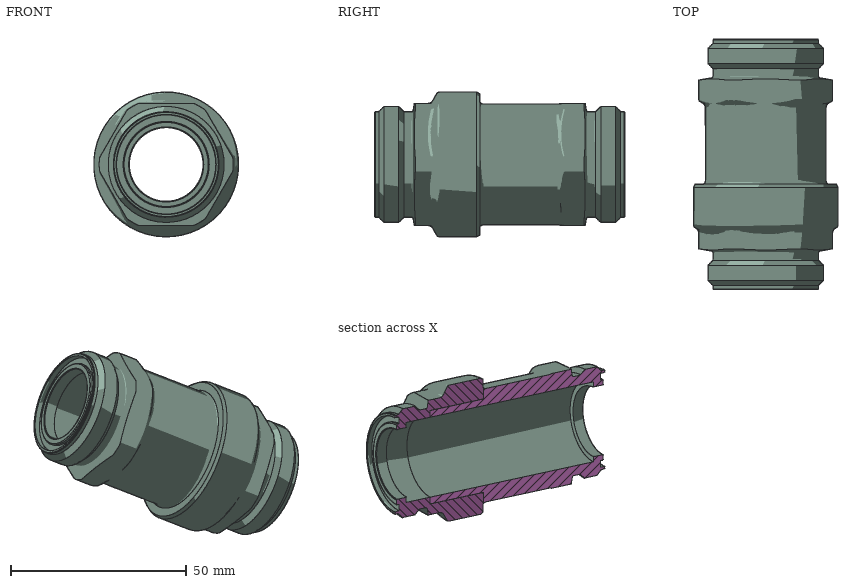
import cadquery as cq
import math

LENGTH = 71.5
HALF_LENGTH = LENGTH / 2

BORE_DIA = 21.0
MOUTH_CHAMFER = 0.2
CHAMBER_DIA = 24.1
CHAMBER_END = 31.75

TIP_DIA = 30.2
TIP_EDGE_CHAMFER = 0.2
TIP_LENGTH = 1.2
THREAD_DIA = 33.1
THREAD_CHAMFER = (THREAD_DIA - TIP_DIA) / 2
THREAD_LENGTH = 4.2
NECK_START = 24.75
NECK_FILLET = 0.4
NECK_STEP_LENGTH = 0.32
NECK_STEP_DEPTH = 0.1

RECESS_DIA = 28.3
RECESS_MOUTH_DIA = 28.6
RECESS_DEPTH = 1.4
TUBE_DIA = 24.6
TUBE_EDGE_CHAMFER = 0.3
TUBE_SETBACK = 0.5

HEX_FLATS = 34.9
HEX_CORNER_DIA = 38.25
HEX_EDGE_FILLET = 2.0
HEX_FACE = 24.1
CONE_ANGLE = math.radians(60)

BARREL_DIA = 34.5
BARREL_HEX_CORNER = 18.15
BARREL_HEX_ROUND = 0.7
BARREL_ROOT_FILLET = 1.5
CONE_TIP_RADIUS = 10.7
CONE_OVERSIZE = 1.4
FLARE_DIA = 35.5
FLARE_LENGTH = 1.1
FLARE_RADIUS = 1.4

COLLAR_DIA = 41.4
COLLAR_FACE = -5.65
COLLAR_CHAMFER_LENGTH = 0.9
COLLAR_CHAMFER_DEPTH = 0.535
COLLAR_ROUND_START = -17.15
COLLAR_ROUND = 1.0
COLLAR_HEX_START = -9.2
HEX_ROOT_FILLET = 1.5
HEX_ROOT_LIMIT = -20.3

SPIGOT_DIA = 28.5
SPIGOT_END = -23.75

SELECT_REACH = 28.6
SELECT_MARGIN = 0.15
TOLERANCE = 0.01


def revolve_y(profile):
    """Turn a closed (radius, y) outline about the Y axis."""
    return profile.close().revolve(360, (0, 0, 0), (0, 1, 0))


def cylinder_y(diameter, start, end):
    """Cylinder on the Y axis from start up to end."""
    return cq.Workplane("XZ", origin=(0, start, 0)).circle(diameter / 2).extrude(start - end)


def edges_between(low, high):
    """Selector for edges that lie wholly between two Y positions."""
    return cq.selectors.BoxSelector(
        (-SELECT_REACH, low, -SELECT_REACH), (SELECT_REACH, high, SELECT_REACH), boundingbox=True
    )


def hexagon(start, end):
    """Hexagonal prism with turned-down, rounded corners."""
    prism = (
        cq.Workplane("XZ", origin=(0, start, 0))
        .polygon(6, HEX_FLATS / math.cos(math.pi / 6))
        .extrude(start - end)
    )
    return prism.intersect(cylinder_y(HEX_CORNER_DIA, start, end)).edges("|Y").fillet(HEX_EDGE_FILLET)


def end_recess():
    """Ring-shaped recess that leaves the inner tube standing."""
    tube_r = TUBE_DIA / 2
    tube_face = HALF_LENGTH - TUBE_SETBACK
    floor = HALF_LENGTH - RECESS_DEPTH
    return revolve_y(
        cq.Workplane("XY")
        .moveTo(0, HALF_LENGTH)
        .lineTo(RECESS_MOUTH_DIA / 2, HALF_LENGTH)
        .lineTo(RECESS_DIA / 2, tube_face)
        .lineTo(RECESS_DIA / 2, floor)
        .lineTo(tube_r, floor)
        .lineTo(tube_r, tube_face - TUBE_EDGE_CHAMFER)
        .lineTo(tube_r - TUBE_EDGE_CHAMFER, tube_face)
        .lineTo(0, tube_face)
    )


def end_bore():
    """Chamber and chamfered mouth inside a threaded end."""
    bore_r = BORE_DIA / 2
    tube_face = HALF_LENGTH - TUBE_SETBACK
    return revolve_y(
        cq.Workplane("XY")
        .moveTo(0, HEX_FACE)
        .lineTo(CHAMBER_DIA / 2, HEX_FACE)
        .lineTo(CHAMBER_DIA / 2, CHAMBER_END)
        .lineTo(bore_r, CHAMBER_END)
        .lineTo(bore_r, tube_face - MOUTH_CHAMFER)
        .lineTo(bore_r + MOUTH_CHAMFER, tube_face)
        .lineTo(0, tube_face)
    )


def threaded_end():
    """Threaded end at +Y, from the hexagon's end face out to the tip."""
    tip_r = TIP_DIA / 2
    thread_r = THREAD_DIA / 2
    thread_top = HALF_LENGTH - TIP_LENGTH - THREAD_CHAMFER
    thread_bottom = thread_top - THREAD_LENGTH
    neck_end = thread_bottom - THREAD_CHAMFER
    end = revolve_y(
        cq.Workplane("XY")
        .moveTo(0, HEX_FACE)
        .lineTo(HEX_CORNER_DIA / 2, HEX_FACE)
        .lineTo(tip_r + NECK_FILLET, NECK_START)
        .radiusArc((tip_r, NECK_START + NECK_FILLET), NECK_FILLET)
        .lineTo(tip_r, neck_end - NECK_STEP_LENGTH)
        .lineTo(tip_r + NECK_STEP_DEPTH, neck_end)
        .lineTo(thread_r, thread_bottom)
        .lineTo(thread_r, thread_top)
        .lineTo(tip_r, HALF_LENGTH - TIP_LENGTH)
        .lineTo(tip_r, HALF_LENGTH - TIP_EDGE_CHAMFER)
        .lineTo(tip_r - TIP_EDGE_CHAMFER, HALF_LENGTH)
        .lineTo(0, HALF_LENGTH)
    )
    return end.cut(end_recess()).cut(end_bore()).intersect(hexagon(HEX_FACE, HALF_LENGTH))


def barrel_hexagon():
    """Hexagon whose inner side is a cone with a rounded edge."""
    corner_r = HEX_CORNER_DIA / 2
    outer_r = corner_r + CONE_OVERSIZE
    outer_y = BARREL_HEX_CORNER + CONE_OVERSIZE / math.tan(CONE_ANGLE)
    tip_y = BARREL_HEX_CORNER - (corner_r - CONE_TIP_RADIUS) / math.tan(CONE_ANGLE)
    outline = revolve_y(
        cq.Workplane("XY")
        .moveTo(0, HEX_FACE)
        .lineTo(outer_r, HEX_FACE)
        .lineTo(outer_r, outer_y)
        .lineTo(CONE_TIP_RADIUS, tip_y)
        .lineTo(0, tip_y)
    )
    coned = hexagon(tip_y - 0.7, HEX_FACE).intersect(outline)
    return coned.edges(edges_between(16.45, 18.6)).fillet(BARREL_HEX_ROUND)


def lies_on_barrel(edge):
    """True for an edge that runs on the barrel's cylindrical surface."""
    points = [edge.positionAt(t) for t in (0, 0.3, 0.5, 1)]
    return all(abs(math.hypot(p.x, p.z) - BARREL_DIA / 2) < TOLERANCE for p in points)


def make_barrel():
    """Barrel with its spigot, hexagon and +Y threaded end."""
    barrel_r = BARREL_DIA / 2
    body = revolve_y(
        cq.Workplane("XY")
        .moveTo(0, HEX_FACE)
        .lineTo(barrel_r, HEX_FACE - 0.7)
        .lineTo(barrel_r, COLLAR_FACE + FLARE_LENGTH)
        .radiusArc((FLARE_DIA / 2, COLLAR_FACE), -FLARE_RADIUS)
        .lineTo(SPIGOT_DIA / 2, COLLAR_FACE)
        .lineTo(SPIGOT_DIA / 2, SPIGOT_END)
        .lineTo(0, SPIGOT_END)
    )
    shell = body.union(barrel_hexagon())
    root_edges = [e for e in shell.edges(edges_between(16.1, 17.9)).vals() if lies_on_barrel(e)]
    shell = shell.newObject(root_edges).fillet(BARREL_ROOT_FILLET)
    return shell.union(threaded_end()).cut(cylinder_y(CHAMBER_DIA, SPIGOT_END, CHAMBER_END))


def make_collar():
    """Collar with its hexagon, -Y threaded end and the socket for the spigot."""
    collar_r = COLLAR_DIA / 2
    socket_r = SPIGOT_DIA / 2
    half_angle = CONE_ANGLE / 2
    cone_r = collar_r - COLLAR_ROUND * (1 - math.cos(CONE_ANGLE))
    cone_y = COLLAR_ROUND_START - COLLAR_ROUND * math.sin(CONE_ANGLE)
    cone_end = cone_y - (cone_r - socket_r) / math.tan(CONE_ANGLE)
    round_middle = (
        collar_r - COLLAR_ROUND * (1 - math.cos(half_angle)),
        COLLAR_ROUND_START - COLLAR_ROUND * math.sin(half_angle),
    )
    ring = revolve_y(
        cq.Workplane("XY")
        .moveTo(0, COLLAR_FACE)
        .lineTo(collar_r - COLLAR_CHAMFER_DEPTH, COLLAR_FACE)
        .lineTo(collar_r, COLLAR_FACE - COLLAR_CHAMFER_LENGTH)
        .lineTo(collar_r, COLLAR_ROUND_START)
        .threePointArc(round_middle, (cone_r, cone_y))
        .lineTo(socket_r, cone_end)
        .lineTo(0, cone_end)
    )
    body = ring.union(hexagon(-HEX_FACE, COLLAR_HEX_START))
    body = body.edges(edges_between(cone_y - SELECT_MARGIN, HEX_ROOT_LIMIT)).fillet(HEX_ROOT_FILLET)
    return (
        body.union(threaded_end().mirror("XZ"))
        .cut(cylinder_y(CHAMBER_DIA, -CHAMBER_END, COLLAR_FACE))
        .cut(cylinder_y(SPIGOT_DIA, SPIGOT_END, COLLAR_FACE))
    )


barrel = make_barrel()
collar = make_collar()
result = cq.Compound.makeCompound([barrel.val(), collar.val()])